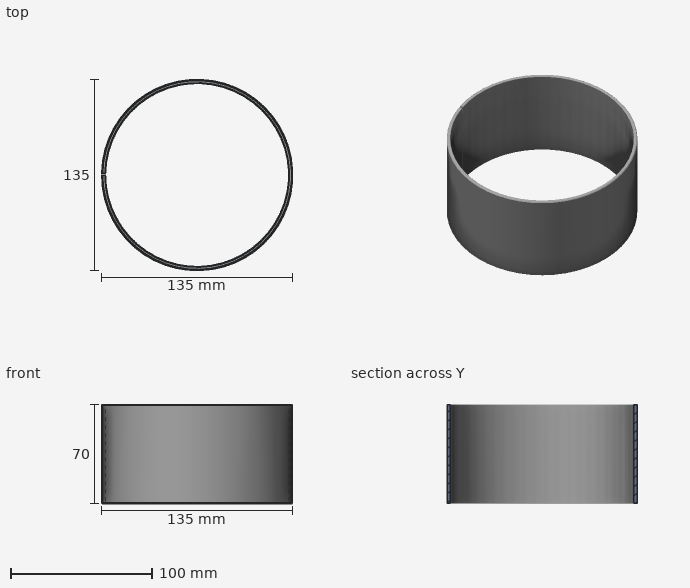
import cadquery as cq

outer_diameter = 135.0
height = 70.0
wall = 2.5
outer_chamfer = 0.5
inner_chamfer = 0.3
gap_angle = 1.0

outer_radius = outer_diameter / 2
inner_radius = outer_radius - wall


def wall_section():
    """Wall cross-section on the -X side, with chamfered outer and inner corners."""
    return (
        cq.Workplane("XZ")
        .moveTo(-outer_radius, outer_chamfer)
        .lineTo(-outer_radius, height - outer_chamfer)
        .lineTo(-outer_radius + outer_chamfer, height)
        .lineTo(-inner_radius - inner_chamfer, height)
        .lineTo(-inner_radius, height - inner_chamfer)
        .lineTo(-inner_radius, inner_chamfer)
        .lineTo(-inner_radius - inner_chamfer, 0)
        .lineTo(-outer_radius + outer_chamfer, 0)
        .close()
    )


result = wall_section().revolve(360 - gap_angle, (0, 0, 0), (0, 1, 0))